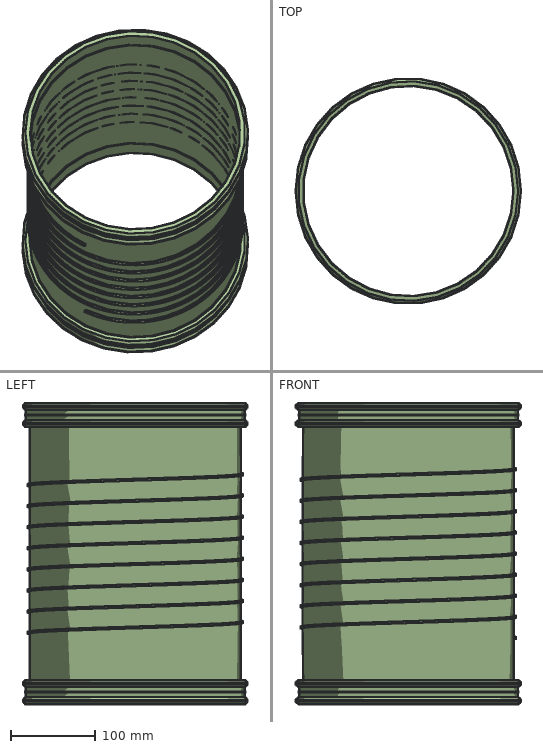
import cadquery as cq
length = 358.8
bore_radius = 250.0 / 2
tube_radius = 252.0 / 2

ring_height = 29.0
ring_radius = 261.5 / 2
bead_radius = 268.5 / 2
bead_height = 8.5
bead_slope = 3.2
rib_height = 1.0
rib_radius = 262.5 / 2

ridge_pitch = 25.0
ridge_turns = 8
ridge_radius = 1.25
ridge_sink = 0.05


def bead_points(base):
    """Half section of one bead, from its lower foot to its upper foot."""
    top = base + bead_height
    return [
        (ring_radius, base),
        (bead_radius, base + bead_slope),
        (bead_radius, top - bead_slope),
        (ring_radius, top),
    ]


def rib_points():
    """Half section of the thin rib at mid height of a ring."""
    base = (ring_height - rib_height) / 2
    top = base + rib_height
    return [
        (ring_radius, base),
        (rib_radius, base),
        (rib_radius, top),
        (ring_radius, top),
    ]


def end_ring(base):
    """Ring with a bead at each edge and a thin rib between them."""
    section = [(bore_radius, 0)]
    section += bead_points(0)
    section += rib_points()
    section += bead_points(ring_height - bead_height)
    section += [(bore_radius, ring_height)]
    ring = cq.Workplane("XZ").polyline(section).close().revolve(360, (0, 0), (0, 1))
    return ring.translate((0, 0, base))


def spiral_ridge():
    """Right-handed round ridge, centred along the tube."""
    ridge_length = ridge_pitch * ridge_turns
    helix_radius = tube_radius + ridge_radius - ridge_sink
    path = cq.Wire.makeHelix(ridge_pitch, ridge_length, helix_radius)
    ridge = cq.Workplane("XZ").center(helix_radius, 0).circle(ridge_radius).sweep(path, isFrenet=True)
    return ridge.translate((0, 0, (length - ridge_length) / 2))


def spiral_tube():
    """Thin tube between the rings, with the ridge as part of its wall."""
    tube_length = length - 2 * ring_height
    tube = cq.Workplane("XY").workplane(offset=ring_height)
    tube = tube.circle(tube_radius).circle(bore_radius).extrude(tube_length)
    return tube.union(spiral_ridge())


tube = spiral_tube()
rings = [end_ring(base) for base in (0, length - ring_height)]

result = cq.Compound.makeCompound([tube.val(), *[ring.val() for ring in rings]])